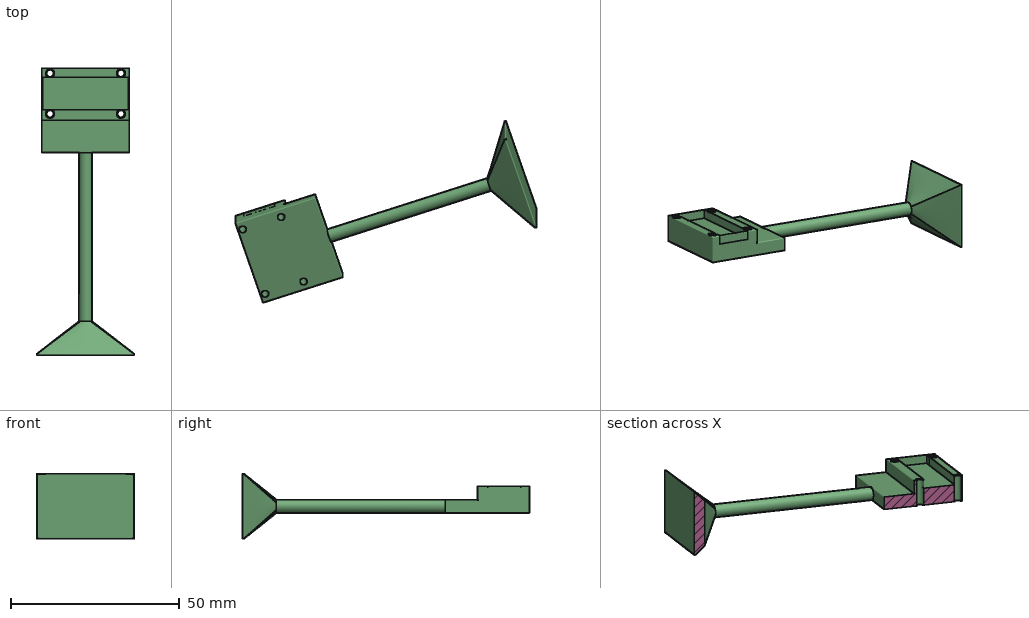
import cadquery as cq

total_length = 85.0
block_length = 25.0
flare_length = 10.0
edge_radius = 0.31

rod_diameter = 4.0
rod_axis_z = rod_diameter / 2

block_width = 26.0
shelf_height = rod_diameter
block_height = 2 * shelf_height
raised_length = 15.5

end_wall = edge_radius
back_ledge = 2.6
pocket_length = 9.7
pocket_depth = 2.6

hole_diameter = 2.0
mouth_chamfer = 0.25
hole_spacing_x = 21.0
hole_spacing_y = 12.0
hole_back_offset = 1.5

foot_width = 30.0
foot_height = 20.0

block_front = total_length - block_length
step_y = total_length - raised_length


def make_block():
    """Stepped block with all outer edges rounded; the inner step corner stays sharp."""
    profile = [
        (block_front, 0),
        (total_length, 0),
        (total_length, block_height),
        (step_y, block_height),
        (step_y, shelf_height),
        (block_front, shelf_height),
    ]
    block = cq.Workplane("YZ").polyline(profile).close().extrude(block_width / 2, both=True)
    step_corner = cq.selectors.NearestToPointSelector((0, step_y, shelf_height))
    outer_edges = block.edges().objects
    corner_edge = block.edges(step_corner).val()
    outer_edges = [edge for edge in outer_edges if not edge.isSame(corner_edge)]
    return block.newObject(outer_edges).fillet(edge_radius)


def make_pocket():
    pocket_center_y = total_length - back_ledge - pocket_length / 2
    return (
        cq.Workplane("XY", origin=(0, pocket_center_y, block_height - pocket_depth))
        .rect(block_width - 2 * end_wall, pocket_length)
        .extrude(pocket_depth)
    )


def make_holes():
    """Four through holes, each widening to a chamfered mouth at the top."""
    hole_radius = hole_diameter / 2
    mouth_radius = hole_radius + mouth_chamfer
    profile = [
        (0, 0),
        (hole_radius, 0),
        (hole_radius, block_height - mouth_chamfer),
        (mouth_radius, block_height),
        (0, block_height),
    ]
    hole = cq.Workplane("XZ").polyline(profile).close().revolve(360, (0, 0, 0), (0, 1, 0)).val()
    hole_center_y = total_length - hole_back_offset - hole_spacing_y / 2
    return (
        cq.Workplane("XY", origin=(0, hole_center_y, 0))
        .rect(hole_spacing_x, hole_spacing_y, forConstruction=True)
        .vertices()
        .eachpoint(lambda location: hole.moved(location))
    )


def make_rod():
    return (
        cq.Workplane("XZ", origin=(0, flare_length, rod_axis_z))
        .circle(rod_diameter / 2)
        .extrude(flare_length - block_front)
    )


def make_foot():
    """Loft from the rectangular foot to the rod, with the foot rim rounded."""
    flare = (
        cq.Workplane("XZ", origin=(0, 0, rod_axis_z))
        .rect(foot_width, foot_height)
        .workplane(offset=-flare_length)
        .circle(rod_diameter / 2)
        .loft(ruled=True)
    )
    return flare.faces("<Y").edges().fillet(edge_radius)


block = make_block().cut(make_pocket()).cut(make_holes())
result = block.union(make_rod()).union(make_foot())